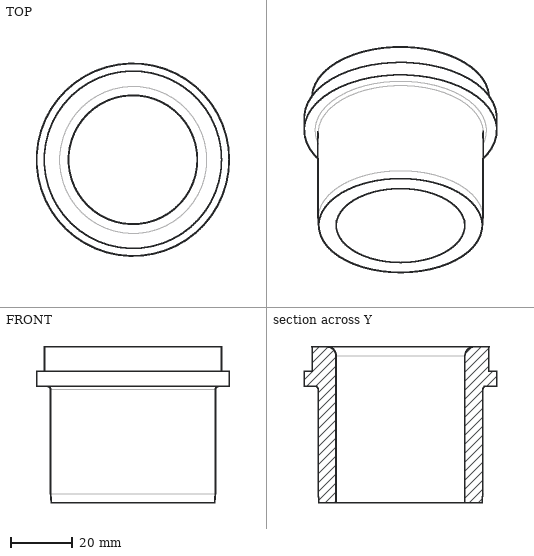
import cadquery as cq
import math

flange_diameter = 63.0
total_height = 51.0

collar_diameter = 57.95
collar_height = 8.0
flange_height = 5.0
sleeve_diameter = 54.0
root_fillet = 1.0

lead_in_height = 3.0
lead_in_angle = 5.0

bore_diameter = 42.0
mouth_radius = 3.0

flange_radius = flange_diameter / 2
collar_radius = collar_diameter / 2
sleeve_radius = sleeve_diameter / 2
bore_radius = bore_diameter / 2
lead_in_radius = sleeve_radius - lead_in_height * math.tan(math.radians(lead_in_angle))
flange_top = total_height - collar_height
flange_bottom = flange_top - flange_height

half_section = (
    cq.Workplane("XZ")
    .moveTo(bore_radius, 0)
    .lineTo(lead_in_radius, 0)
    .lineTo(sleeve_radius, lead_in_height)
    .lineTo(sleeve_radius, flange_bottom - root_fillet)
    .radiusArc((sleeve_radius + root_fillet, flange_bottom), root_fillet)
    .lineTo(flange_radius, flange_bottom)
    .lineTo(flange_radius, flange_top)
    .lineTo(collar_radius, flange_top)
    .lineTo(collar_radius, total_height)
    .lineTo(bore_radius + mouth_radius, total_height)
    .radiusArc((bore_radius, total_height - mouth_radius), -mouth_radius)
    .close()
)

result = half_section.revolve(360, (0, 0, 0), (0, 1, 0))